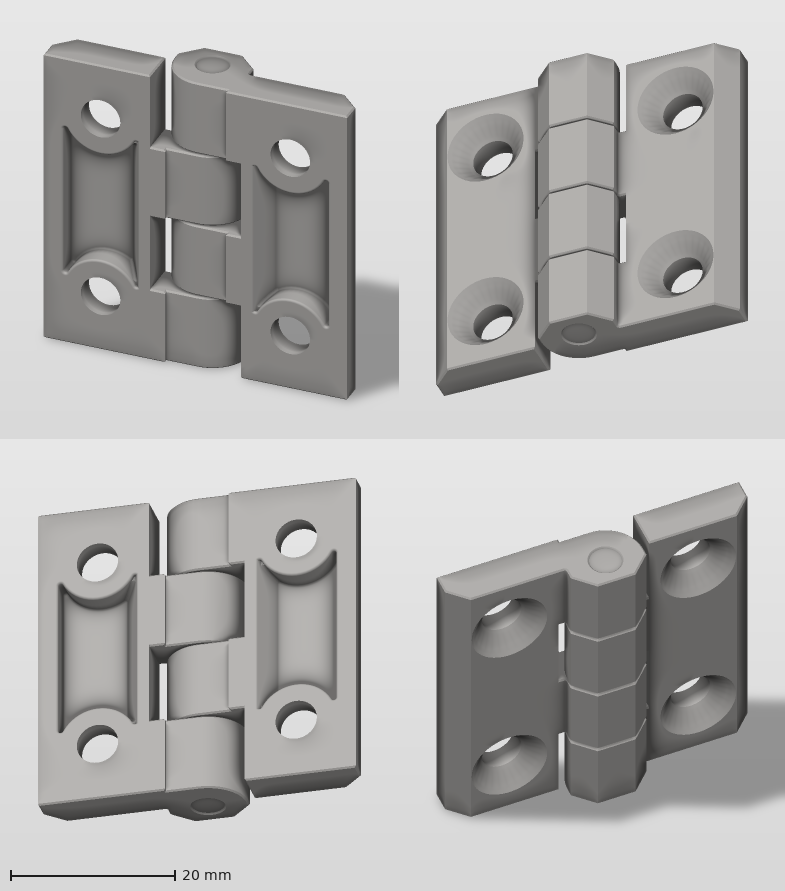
import cadquery as cq
import math

hinge_width = 40.0
hinge_length = 40.0
leaf_thickness = 5.0
end_chamfer = 0.2
outer_bevel = 2.4

knuckle_radius = 5.0
knuckle_bevel = 2.5
knuckle_top = 9.0
knuckle_gap = 0.2
slot_clearance = 1.0
corner_fillet = 0.3
relief_depth = 0.5
relief_half_width = 4.0
pin_radius = 2.0

hole_spacing = 25.0
hole_radius = 2.6
countersink_radius = 5.0

pocket_depth = 3.0
ramp_run = 2.0
pocket_half_width = 5.0
boss_radius = 5.0
horn_radius = 0.3
rim_fillet = 0.3
floor_fillet = 0.3
ramp_overlap = 0.6
ramp_lead = 4.0

half_width = hinge_width / 2
half_length = hinge_length / 2
knuckle_pitch = hinge_length / 4
axis_y = relief_depth + knuckle_radius
hole_x = hole_spacing / 2
hole_z = hole_spacing / 2
slot_reach = knuckle_top + slot_clearance
slot_wall_x = knuckle_radius + slot_clearance
ramp_top_x = hole_x - pocket_half_width
tolerance = 0.005

boss_to_horn = boss_radius + horn_radius
horn_x = pocket_half_width - horn_radius
horn_z = hole_z - math.sqrt(boss_to_horn**2 - horn_x**2)
tangent_x = horn_x * boss_radius / boss_to_horn
tangent_z = hole_z - (hole_z - horn_z) * boss_radius / boss_to_horn


def cylinder_along_y(radius, x, z, y_start, y_end):
    """Cylinder parallel to Y."""
    height = y_end - y_start
    return cq.Workplane(cq.Solid.makeCylinder(radius, height, cq.Vector(x, y_start, z), cq.Vector(0, 1, 0)))


def leaf_with_full_knuckle():
    """Leaf cross-section, knuckle included, run over the whole length of the hinge."""
    body = (
        cq.Workplane("XY", origin=(0, 0, -half_length))
        .moveTo(half_width, 0)
        .lineTo(half_width, leaf_thickness - outer_bevel)
        .lineTo(half_width - outer_bevel, leaf_thickness)
        .lineTo(knuckle_radius, leaf_thickness)
        .lineTo(knuckle_radius, knuckle_top - knuckle_bevel)
        .lineTo(knuckle_radius - knuckle_bevel, knuckle_top)
        .lineTo(knuckle_bevel - knuckle_radius, knuckle_top)
        .lineTo(-knuckle_radius, knuckle_top - knuckle_bevel)
        .lineTo(-knuckle_radius, axis_y)
        .radiusArc((0, relief_depth), -knuckle_radius)
        .lineTo(relief_half_width, relief_depth)
        .lineTo(relief_half_width, 0)
        .close()
        .extrude(hinge_length)
    )
    inner_corner = cq.selectors.NearestToPointSelector((knuckle_radius, leaf_thickness, 0))
    return body.edges("|Z").edges(inner_corner).fillet(corner_fillet)


def cut_knuckle_slots(body):
    """Clear the spaces taken by the two knuckles of the opposite leaf."""
    for slot_bottom, slot_top in (
        (-half_length, -knuckle_pitch + knuckle_gap / 2),
        (-knuckle_gap / 2, knuckle_pitch + knuckle_gap / 2),
    ):
        slot = cq.Workplane("XY", origin=(0, 0, slot_bottom)).rect(2 * slot_wall_x, 2 * slot_reach)
        body = body.cut(slot.extrude(slot_top - slot_bottom))
    return body


def chamfer_ends(body):
    """Chamfer the outline of every end face, except where a knuckle end meets the slot wall."""
    end_edges = body.faces("|Z").edges()
    slot_corners = cq.selectors.BoxSelector(
        (slot_wall_x - tolerance, -tolerance, -half_length + tolerance),
        (slot_wall_x + tolerance, leaf_thickness + tolerance, half_length - tolerance),
    )
    return end_edges.edges(cq.selectors.InverseSelector(slot_corners)).chamfer(end_chamfer)


def cut_pin_bore(body):
    """Bore through the knuckles, with a chamfered mouth at the hinge end."""
    bore = cq.Workplane("XY", origin=(0, axis_y, -half_length)).circle(pin_radius).extrude(hinge_length)
    mouth = cq.Workplane(
        cq.Solid.makeCone(
            pin_radius, pin_radius + end_chamfer, end_chamfer, cq.Vector(0, axis_y, half_length - end_chamfer)
        )
    )
    return body.cut(bore).cut(mouth)


def cut_screw_holes(body):
    """Two holes, countersunk at 90 degrees from the back."""
    sink_depth = countersink_radius - hole_radius
    for z in (-hole_z, hole_z):
        hole = cylinder_along_y(hole_radius, hole_x, z, 0, leaf_thickness)
        sink = cq.Workplane(
            cq.Solid.makeCone(
                hole_radius,
                countersink_radius,
                sink_depth,
                cq.Vector(hole_x, leaf_thickness - sink_depth, z),
                cq.Vector(0, 1, 0),
            )
        )
        body = body.cut(hole).cut(sink)
    return body


def straight_pocket(depth):
    """Straight-walled pocket volume with round bosses at both ends.

    A horn arc rounds each corner; it is tangent to the long wall and to the circle around the screw hole.
    """
    return (
        cq.Workplane("XZ", origin=(hole_x, 0, 0))
        .moveTo(pocket_half_width, -horn_z)
        .lineTo(pocket_half_width, horn_z)
        .radiusArc((tangent_x, tangent_z), -horn_radius)
        .radiusArc((-tangent_x, tangent_z), boss_radius)
        .radiusArc((-pocket_half_width, horn_z), -horn_radius)
        .lineTo(-pocket_half_width, -horn_z)
        .radiusArc((-tangent_x, -tangent_z), -horn_radius)
        .radiusArc((tangent_x, -tangent_z), boss_radius)
        .radiusArc((pocket_half_width, -horn_z), -horn_radius)
        .close()
        .extrude(-depth)
    )


def pocket_ramp():
    """Wedge that slopes the pocket wall beside the hinge; its front edge is rounded like the rim."""
    half_ramp = horn_z + horn_radius + 2 * rim_fillet
    ramp = (
        cq.Workplane("XY", origin=(0, 0, -half_ramp))
        .moveTo(ramp_top_x - ramp_overlap, 0)
        .lineTo(ramp_top_x, 0)
        .lineTo(ramp_top_x + ramp_run, pocket_depth)
        .lineTo(ramp_top_x - ramp_overlap, pocket_depth)
        .close()
        .extrude(2 * half_ramp)
    )
    front_edge = cq.selectors.NearestToPointSelector((ramp_top_x, 0, 0))
    return ramp.edges("|Z").edges(front_edge).fillet(rim_fillet)


def ramped_pocket():
    """Full-depth pocket volume with rounded floor edges.

    Beside the hinge the boss circles run on as tangent lines and the ramp rises past the front face, so
    that the fillet between ramp and boss runs out in front of the leaf.
    """
    lead_x = tangent_x + ramp_lead * (hole_z - tangent_z) / boss_radius
    lead_z = tangent_z + ramp_lead * tangent_x / boss_radius
    front_y = -pocket_depth / 2
    front_x = ramp_top_x - ramp_run / 2
    prism = (
        cq.Workplane("XZ", origin=(hole_x, front_y, 0))
        .moveTo(pocket_half_width, -horn_z)
        .lineTo(pocket_half_width, horn_z)
        .radiusArc((tangent_x, tangent_z), -horn_radius)
        .radiusArc((-tangent_x, tangent_z), boss_radius)
        .lineTo(-lead_x, lead_z)
        .lineTo(-lead_x, -lead_z)
        .lineTo(-tangent_x, -tangent_z)
        .radiusArc((tangent_x, -tangent_z), boss_radius)
        .radiusArc((pocket_half_width, -horn_z), -horn_radius)
        .close()
        .extrude(front_y - pocket_depth)
    )
    below_ramp = (
        cq.Workplane("XY", origin=(0, 0, -half_length))
        .moveTo(front_x, front_y)
        .lineTo(half_width, front_y)
        .lineTo(half_width, pocket_depth)
        .lineTo(ramp_top_x + ramp_run, pocket_depth)
        .close()
        .extrude(hinge_length)
    )
    volume = prism.intersect(below_ramp)
    ramp_face = volume.faces(cq.selectors.NearestToPointSelector((ramp_top_x, 0, 0)))
    ramp_sides = ramp_face.edges("not |Z")
    floor_edges = volume.faces(">Y").edges()
    return floor_edges.add(ramp_sides).fillet(floor_fillet).intersect(straight_pocket(pocket_depth))


def cut_pocket(body):
    """Round the rim on a shallow pocket, then put the ramp in and sink the pocket to its floor."""
    rim = cq.selectors.BoxSelector(
        (hole_x - pocket_half_width - tolerance, -tolerance, -hole_z),
        (hole_x + pocket_half_width + tolerance, tolerance, hole_z),
        boundingbox=True,
    )
    body = body.cut(straight_pocket(2 * rim_fillet)).edges(rim).fillet(rim_fillet)
    return body.union(pocket_ramp()).cut(ramped_pocket())


def leaf():
    """The leaf on the +X side, with its knuckles at the top and just below the middle."""
    body = chamfer_ends(cut_knuckle_slots(leaf_with_full_knuckle()))
    return cut_pocket(cut_screw_holes(cut_pin_bore(body)))


def hinge_pin():
    """Pin through all four knuckles, set back by the chamfer of the bore at each end."""
    pin_length = hinge_length - 2 * end_chamfer
    return cq.Workplane("XY", origin=(0, axis_y, -pin_length / 2)).circle(pin_radius).extrude(pin_length)


right_leaf = leaf()
left_leaf = right_leaf.rotate((0, 0, 0), (0, 1, 0), 180)
pin = hinge_pin()

result = cq.Compound.makeCompound([right_leaf.solids().val(), left_leaf.solids().val(), pin.val()])